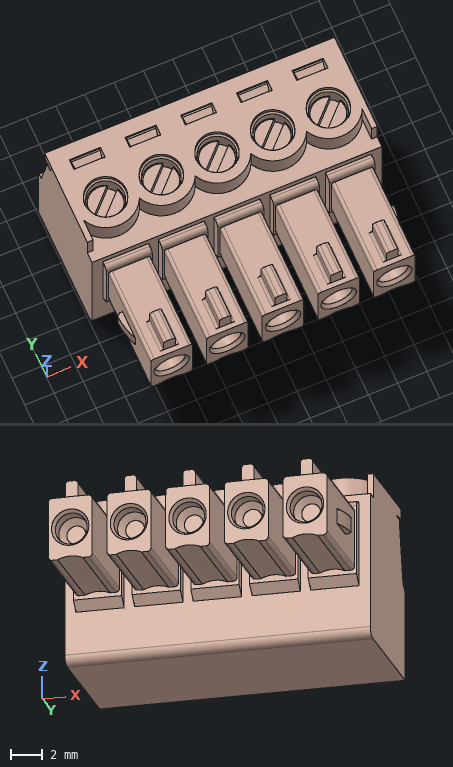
import cadquery as cq


poles = 5
pitch = 3.8
pole_xs = [(i - (poles - 1) / 2) * pitch for i in range(poles)]

body_length = 19.84
body_depth = 8.41
body_height = 11.1
front_bottom_radius = 0.6
ledge_height = 9.48
shoulder_start_z = 5.8
shoulder_mid = (8.23, 6.05)
shoulder_end = (7.92, 6.2)
lip_back = 7.42
lip_underside = 10.34
groove_height = 0.1
groove_back = 7.0
groove_front = 6.5

recess_width = poles * pitch
side_wall_front = 0.73
screw_y = 3.13
tower_radius = 2.12

mouth_radius = 1.39
mouth_depth = 0.28
well_radius = 1.25
countersink_depth = 0.35
screw_head_depth = 0.93
screw_rim_bevel = 0.1
screw_slot_width = 0.7
screw_slot_depth = 0.63
screw_slot_angle = 45

window_top_width = 2.12
window_floor_width = 1.79
window_front = 5.65
window_back = 6.37
window_step = 0.12
window_step_depth = 0.15
window_floor_drop = 0.24

root_width = 3.13
root_length = 0.6
root_bottom = 3.4
root_top = 8.93
root_radius = 0.4

plug_width = 2.85
plug_tip_y = -7.18
plug_bottom = 4.25
plug_top = 8.4
plug_radius = 0.24
arch_width = 1.63
arch_rise = 0.18

bore_z = 6.35
bore_mouth_radius = 1.21
bore_radius = 1.03
bore_mouth_depth = 0.25
bore_straight_end = 1.1
pin_radius = 0.62
bore_depth = 1.5

rib_width = 0.81
rib_top = 9.58
rib_front = -6.85
rib_back = -4.66
rib_radius = 0.22

latch_height = 1.0
latch_reach = 0.42
latch_ramp_mid_reach = 0.3
latch_back = -2.78
latch_crest = -2.98
latch_front = -4.76


def box(x_range, y_range, z_range):
    """Box between the given limits."""
    (x0, x1), (y0, y1), (z0, z1) = x_range, y_range, z_range
    return cq.Workplane("XY").box(x1 - x0, y1 - y0, z1 - z0, centered=False).translate((x0, y0, z0))


def centered(width, middle=0.0):
    """Limits of a span of the given width centred on middle."""
    return (middle - width / 2, middle + width / 2)


def along_x(profile, length, x=0.0):
    """Extrude a YZ profile to the given total length, centred on x."""
    return profile.extrude(length / 2, both=True).translate((x, 0, 0))


def make_body():
    profile = (
        cq.Workplane("YZ")
        .moveTo(0, front_bottom_radius)
        .radiusArc((front_bottom_radius, 0), -front_bottom_radius)
        .lineTo(body_depth, 0)
        .lineTo(body_depth, shoulder_start_z)
        .threePointArc(shoulder_mid, shoulder_end)
        .lineTo(groove_back, lip_underside - groove_height)
        .lineTo(groove_front, lip_underside - groove_height)
        .lineTo(groove_front, lip_underside)
        .lineTo(lip_back, lip_underside)
        .lineTo(lip_back, body_height)
        .lineTo(0, body_height)
        .close()
    )
    return along_x(profile, body_length)


def make_front_recess():
    above_ledge = (ledge_height, body_height)
    recess = box(centered(recess_width), (0, screw_y), above_ledge)
    for x in pole_xs:
        tower = cq.Workplane("XY", origin=(x, screw_y, ledge_height)).circle(tower_radius)
        recess = recess.cut(tower.extrude(body_height - ledge_height))
    return recess.union(box(centered(body_length), (0, side_wall_front), above_ledge))


def make_screw_well(x):
    slot_z = -screw_head_depth - screw_slot_depth
    well = (
        cq.Workplane("XZ")
        .polyline([
            (0, 0),
            (mouth_radius, 0),
            (mouth_radius, -mouth_depth),
            (well_radius, -countersink_depth),
            (well_radius, -screw_head_depth - screw_rim_bevel),
            (well_radius - screw_rim_bevel, -screw_head_depth),
            (0, -screw_head_depth),
        ])
        .close()
        .revolve(360, (0, 0), (0, 1))
    )
    slot = box(centered(2 * well_radius), centered(screw_slot_width), (slot_z, -screw_head_depth))
    slot = slot.rotate((0, 0, 0), (0, 0, 1), screw_slot_angle)
    screw_head = cq.Workplane("XY", origin=(0, 0, slot_z)).circle(well_radius).extrude(screw_slot_depth)
    slot = slot.intersect(screw_head)
    return well.union(slot).translate((x, screw_y, body_height))


def make_window(x):
    step_z = body_height - window_step_depth
    floor_z = step_z - window_floor_drop
    side_profile = (
        cq.Workplane("YZ")
        .polyline([
            (window_front, body_height),
            (window_back, body_height),
            (window_back, step_z),
            (window_back - window_step, step_z),
            (window_front, floor_z),
        ])
        .close()
    )
    tapered_ends = (
        cq.Workplane("XZ")
        .polyline([
            (x - window_top_width / 2, body_height),
            (x + window_top_width / 2, body_height),
            (x + window_floor_width / 2, floor_z),
            (x - window_floor_width / 2, floor_z),
        ])
        .close()
        .extrude(-body_depth)
    )
    return along_x(side_profile, window_top_width, x).intersect(tapered_ends)


def make_root(x):
    profile = (
        cq.Workplane("YZ")
        .moveTo(0, root_bottom)
        .lineTo(-root_length, root_bottom + root_length)
        .lineTo(-root_length, root_top - root_radius)
        .radiusArc((root_radius - root_length, root_top), root_radius)
        .lineTo(0, root_top)
        .close()
    )
    return along_x(profile, root_width, x)


def make_plug(x):
    plug = box(centered(plug_width, x), (plug_tip_y, 0), (plug_bottom, plug_top))
    plug = plug.edges("|Y").fillet(plug_radius)
    arch = (
        cq.Workplane("XZ")
        .moveTo(x - arch_width / 2, plug_bottom)
        .threePointArc((x, plug_bottom + arch_rise), (x + arch_width / 2, plug_bottom))
        .close()
        .extrude(-plug_tip_y)
    )
    return plug.cut(arch)


def make_rib(x):
    half = rib_width / 2
    profile = (
        cq.Workplane("XZ", origin=(x, rib_back, 0))
        .moveTo(-half - rib_radius, plug_top)
        .radiusArc((-half, plug_top + rib_radius), -rib_radius)
        .lineTo(-half, rib_top - rib_radius)
        .radiusArc((rib_radius - half, rib_top), rib_radius)
        .lineTo(half - rib_radius, rib_top)
        .radiusArc((half, rib_top - rib_radius), rib_radius)
        .lineTo(half, plug_top + rib_radius)
        .radiusArc((half + rib_radius, plug_top), -rib_radius)
        .close()
    )
    return profile.extrude(rib_back - rib_front)


def make_contact_bore(x):
    return (
        cq.Workplane("XY")
        .polyline([
            (0, 0),
            (bore_mouth_radius, 0),
            (bore_radius, bore_mouth_depth),
            (bore_radius, bore_straight_end),
            (pin_radius, bore_depth),
            (0, bore_depth),
        ])
        .close()
        .revolve(360, (0, 0), (0, 1))
        .translate((x, plug_tip_y, bore_z))
    )


def make_latch():
    """Latch on the +X side of the last plug, with a curved lead-in ramp."""
    side_x = pole_xs[-1] + plug_width / 2
    crest_x = side_x + latch_reach
    root_x = side_x - plug_radius
    ramp_mid = (side_x + latch_ramp_mid_reach, (latch_crest + latch_front) / 2)
    return (
        cq.Workplane("XY", origin=(0, 0, bore_z - latch_height / 2))
        .moveTo(root_x, latch_back)
        .lineTo(crest_x + latch_crest - latch_back, latch_back)
        .lineTo(crest_x, latch_crest)
        .threePointArc(ramp_mid, (side_x, latch_front))
        .lineTo(root_x, latch_front)
        .close()
        .extrude(latch_height)
    )


result = make_body().cut(make_front_recess())
for pole_x in pole_xs:
    result = result.union(make_root(pole_x)).union(make_plug(pole_x)).union(make_rib(pole_x))
    result = result.cut(make_screw_well(pole_x)).cut(make_window(pole_x)).cut(make_contact_bore(pole_x))
latch = make_latch()
result = result.union(latch).union(latch.mirror("YZ"))